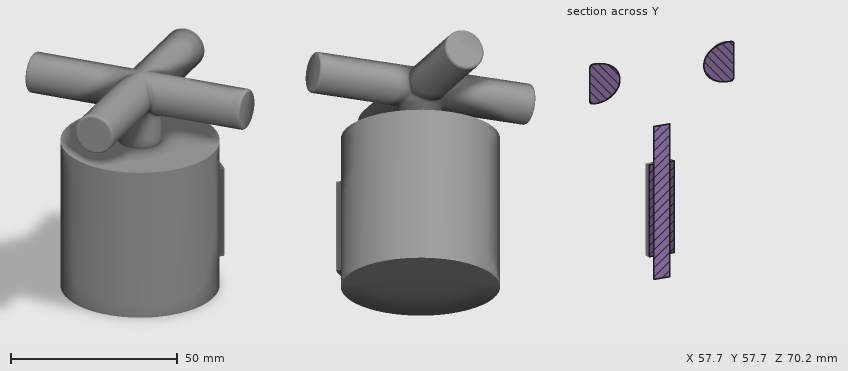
import cadquery as cq
import math

TOTAL_HEIGHT = 70.2
BODY_DIAMETER = 47.9
BODY_HEIGHT = 47.7

BAR_DIAMETER = 12.5
BAR_LENGTH = 70.0
BAR_END_FILLET = 0.8
BAR_ANGLES = (-45.0, 45.0)
CROTCH_FILLET = 0.8
CROTCH_FILLET_DIRECTIONS = ((1, 0), (0, -1))
STEM_BOTTOM_DIAMETER = 13.0
STEM_TOP_DIAMETER = 13.6
STEM_FILLET = 0.7

PAD_WIDTH = 9.2
PAD_HEIGHT = 28.7
PAD_BOTTOM = 7.3
PAD_THICKNESS = 2.0

body_radius = BODY_DIAMETER / 2
bar_radius = BAR_DIAMETER / 2
bar_axis_z = TOTAL_HEIGHT - bar_radius
bar_underside_z = bar_axis_z - bar_radius
crotch_reach = bar_radius * math.sqrt(2)


def make_body():
    """Plain round body standing on Z = 0."""
    return cq.Workplane("XY").circle(body_radius).extrude(BODY_HEIGHT)


def make_bar(angle):
    """Round bar through the handle centre, with rounded end rims."""
    bar = cq.Workplane("YZ").circle(bar_radius).extrude(BAR_LENGTH / 2, both=True)
    bar = bar.faces("<X or >X").edges().fillet(BAR_END_FILLET)
    return bar.rotate((0, 0, 0), (0, 0, 1), angle).translate((0, 0, bar_axis_z))


def make_stem():
    """Stem that widens upward from the body top and ends inside the bars."""
    bottom_radius = STEM_BOTTOM_DIAMETER / 2
    top_radius = STEM_TOP_DIAMETER / 2
    profile = (
        cq.Workplane("XZ")
        .moveTo(0, BODY_HEIGHT)
        .lineTo(bottom_radius, BODY_HEIGHT)
        .lineTo(top_radius, bar_axis_z)
        .lineTo(0, bar_axis_z)
        .close()
    )
    return profile.revolve(360, (0, 0, 0), (0, 1, 0))


def fillet_crotch(cross, direction_x, direction_y):
    """Round the corner between two bars that faces the given direction."""
    corner = (direction_x * crotch_reach, direction_y * crotch_reach, bar_axis_z)
    edge = cross.edges(cq.selectors.NearestToPointSelector(corner))
    return edge.fillet(CROTCH_FILLET)


def fillet_stem_joint(handle):
    """Round the curved line where the stem meets the undersides of the bars."""
    joint_zone = cq.selectors.BoxSelector(
        (-crotch_reach, -crotch_reach, bar_underside_z),
        (crotch_reach, crotch_reach, bar_axis_z - bar_radius / 2),
    )
    return handle.edges(joint_zone).fillet(STEM_FILLET)


def make_handle():
    """Two crossed bars on a stem, made as one solid."""
    cross = make_bar(BAR_ANGLES[0]).union(make_bar(BAR_ANGLES[1]))
    for direction_x, direction_y in CROTCH_FILLET_DIRECTIONS:
        cross = fillet_crotch(cross, direction_x, direction_y)
    return fillet_stem_joint(cross.union(make_stem()))


def make_pad():
    """Curved pad that lies against the body, concentric with it."""
    ring = (
        cq.Workplane("XY")
        .circle(body_radius + PAD_THICKNESS)
        .circle(body_radius)
        .extrude(PAD_HEIGHT)
    )
    slab = (
        cq.Workplane("XY")
        .center(0, body_radius)
        .rect(PAD_WIDTH, BODY_DIAMETER)
        .extrude(PAD_HEIGHT)
    )
    return ring.intersect(slab).translate((0, 0, PAD_BOTTOM))


body = make_body()
handle = make_handle()
pad = make_pad()

result = cq.Compound.makeCompound([body.val(), handle.val(), pad.val()])